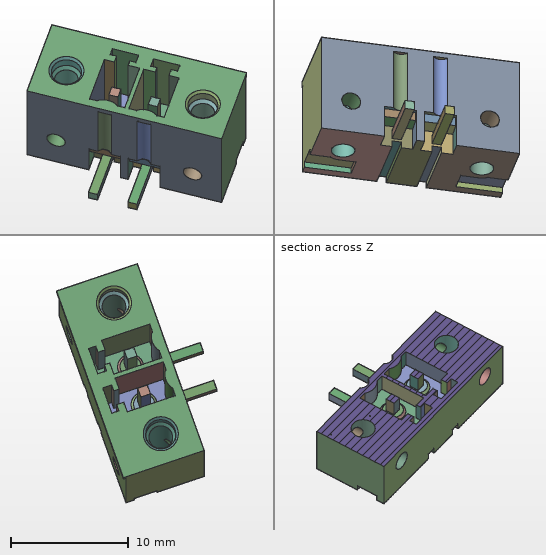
import cadquery as cq


width = 17.3
height = 9.2
body_depth = 7.04
lip_overhang = 0.22
lip_height = 0.52

pin_pitch = 3.5
pin_x_places = (-pin_pitch / 2, pin_pitch / 2)
pin_width = 0.81
pin_depth = 0.86
pin_y = 3.01
pin_top = 7.85
tail_length = 3.39
tail_bottom = 0.81
tail_height = 0.81

pocket_width = 3.13
pocket_front = 0.75
pocket_back = 5.07
pocket_floor = 3.01
neck_inner = 0.54
neck_outer = 0.67
key_inner = 1.09
key_outer = 1.25
key_back = 6.35
key_inner_front = 5.55
key_outer_front = 5.71
boss_base_radius = 1.1
boss_top_radius = 0.9
boss_height = 0.2

groove_axis_y = -0.4
groove_radius = 0.73
groove_top = 8.7
rib_radius = 1.45

slot_width = 2.8
slot_top = 3.01
slot_shallow = 0.35
slot_deep = 1.44
slope_top = 2.21
slope_bottom = 2.02
channel_height = 0.57

screw_spacing = 12.11
screw_x_places = (-screw_spacing / 2, screw_spacing / 2)
screw_y = pin_y
screw_radius = 1.0
bore_radius = 1.28
bore_rim_radius = 1.49
rim_chamfer = bore_rim_radius - bore_radius
cone_top_depth = 1.0
cone_bottom_depth = cone_top_depth + bore_radius - screw_radius

cross_hole_radius = 0.81
cross_hole_z = 3.11
recess_height = 0.52
recess_front = 4.25
recess_back = 6.28
screw_wall_radius = 1.49


def block(x_min, x_max, y_min, y_max, z_min, z_max):
    """Box given by its limits along each axis."""
    size = (x_max - x_min, y_max - y_min, z_max - z_min)
    return cq.Workplane("XY").box(*size, centered=False).translate((x_min, y_min, z_min))


def upright_cylinder(x, y, radius, z_min, z_max):
    return cq.Workplane("XY", origin=(x, y, z_min)).circle(radius).extrude(z_max - z_min)


def make_housing():
    """Plain block with a lip along the top of the back wall."""
    housing = block(-width / 2, width / 2, 0, body_depth, 0, height)
    lip_back = body_depth + lip_overhang
    return housing.union(block(-width / 2, width / 2, 0, lip_back, height - lip_height, height))


def make_pocket(x, outward):
    """Keyed plug pocket; outward is the X sign pointing away from the other pocket."""
    half_width = pocket_width / 2
    outline = [
        (-half_width, pocket_front),
        (half_width, pocket_front),
        (half_width, pocket_back),
        (neck_outer, pocket_back),
        (neck_outer, key_outer_front),
        (key_outer, key_outer_front),
        (key_outer, key_back),
        (-key_inner, key_back),
        (-key_inner, key_inner_front),
        (-neck_inner, key_inner_front),
        (-neck_inner, pocket_back),
        (-half_width, pocket_back),
    ]
    points = [(x + outward * u, y) for u, y in outline]
    pocket = cq.Workplane("XY", origin=(0, 0, pocket_floor)).polyline(points).close()
    pocket = pocket.extrude(height - pocket_floor)
    rib = upright_cylinder(x, groove_axis_y, rib_radius, pocket_floor, height)
    return pocket.cut(rib)


def make_boss(x):
    """Tapered collar on the pocket floor around the pin."""
    collar = cq.Workplane("XY", origin=(x, pin_y, pocket_floor)).circle(boss_base_radius)
    return collar.workplane(offset=boss_height).circle(boss_top_radius).loft()


def make_front_slot(x):
    """Open-bottomed slot, shallow at the top and sloping in to a deep lower part."""
    profile = [
        (0, 0),
        (slot_deep, 0),
        (slot_deep, slope_bottom),
        (slot_shallow, slope_top),
        (slot_shallow, slot_top),
        (0, slot_top),
    ]
    start = (x - slot_width / 2, 0, 0)
    return cq.Workplane("YZ", origin=start).polyline(profile).close().extrude(slot_width)


def make_pin(x):
    """Square pin rising into the pocket, bent to a tail that leaves through the front."""
    left = x - pin_width / 2
    right = x + pin_width / 2
    pin_back = pin_y + pin_depth / 2
    post = block(left, right, pin_y - pin_depth / 2, pin_back, tail_bottom, pin_top)
    tail = block(left, right, -tail_length, pin_back, tail_bottom, tail_bottom + tail_height)
    return post.union(tail)


def make_screw_hole(x):
    """Stepped through hole: chamfered bore, conical step, narrow hole below."""
    profile = [
        (0, 0),
        (screw_radius, 0),
        (screw_radius, height - cone_bottom_depth),
        (bore_radius, height - cone_top_depth),
        (bore_radius, height - rim_chamfer),
        (bore_rim_radius, height),
        (0, height),
    ]
    hole = cq.Workplane("XZ").polyline(profile).close().revolve(360, (0, 0), (0, 1))
    return hole.translate((x, screw_y, 0))


def make_cross_hole(x):
    """Round hole from the front wall to the back wall."""
    start = (x, body_depth, cross_hole_z)
    return cq.Workplane("XZ", origin=start).circle(cross_hole_radius).extrude(body_depth)


def make_underside_recess(x):
    """Recess from the end wall past the screw hole; its front side rounds the hole, then runs straight."""
    end_wall = width / 2 if x > 0 else -width / 2
    inner_end = x - screw_wall_radius if x > 0 else x + screw_wall_radius
    outer_part = block(min(x, end_wall), max(x, end_wall), recess_front, recess_back, 0, recess_height)
    outer_part = outer_part.cut(upright_cylinder(x, screw_y, screw_wall_radius, 0, recess_height))
    wall_back = screw_y + screw_wall_radius
    inner_part = block(min(x, inner_end), max(x, inner_end), wall_back, recess_back, 0, recess_height)
    return outer_part.union(inner_part)


result = make_housing()

for pin_x in pin_x_places:
    outward_sign = 1 if pin_x > 0 else -1
    half_pin = pin_width / 2
    result = result.cut(make_pocket(pin_x, outward_sign))
    result = result.union(make_boss(pin_x))
    result = result.cut(upright_cylinder(pin_x, groove_axis_y, groove_radius, 0, groove_top))
    result = result.cut(make_front_slot(pin_x))
    result = result.cut(block(pin_x - half_pin, pin_x + half_pin, 0, body_depth, 0, channel_height))
    result = result.union(make_pin(pin_x))

for screw_x in screw_x_places:
    result = result.cut(make_screw_hole(screw_x))
    result = result.cut(make_cross_hole(screw_x))
    result = result.cut(make_underside_recess(screw_x))